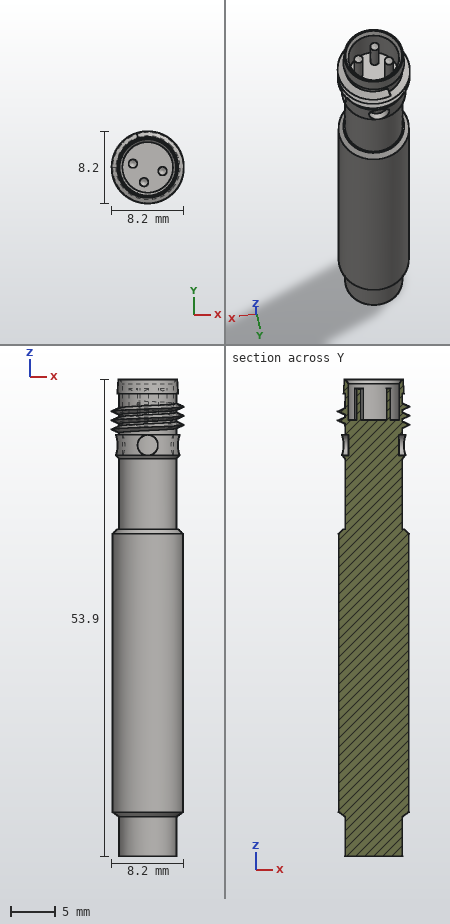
import cadquery as cq

total_length = 53.9
neck_radius = 6.5 / 2
body_radius = 8.0 / 2
body_start = 4.5
body_end = 37.0
body_chamfer = 0.55

collar_radius = 7.2 / 2
collar_start = 44.95
collar_end = 47.65
collar_chamfer = 0.4

core_radius = 6.5 / 2
ridge_radius = 6.9 / 2
ridge_height = 52.3
lip_radius = 6.7 / 2

thread_radius = 8.2 / 2
thread_pitch = 1.0
thread_start = 48.25
thread_turns = 2.8
thread_base = 0.85
thread_start_angle = 180
thread_overlap = 0.1

socket_diameter = 5.7
socket_depth = 4.6
socket_chamfer_width = 0.3
socket_chamfer_depth = 0.5
pin_diameter = 0.95
pin_recess = 1.0
pin_dish_depth = 0.25
pin_circle_radius = 1.7
pin_angles = (-14, 256, 166)
pocket_diameter = 2.3
pocket_height = 46.45
pocket_count = 4


def make_body():
    outline = [
        (0, 0),
        (neck_radius, 0),
        (neck_radius, body_start),
        (body_radius, body_start + body_chamfer),
        (body_radius, body_end - body_chamfer),
        (body_radius - body_chamfer, body_end),
        (neck_radius, body_end),
        (neck_radius, collar_start),
        (collar_radius, collar_start + collar_chamfer),
        (collar_radius, collar_end),
        (core_radius, collar_end),
        (core_radius, ridge_height),
        (ridge_radius, ridge_height),
        (lip_radius, total_length),
        (0, total_length),
    ]
    return cq.Workplane("XZ").polyline(outline).close().revolve(360, (0, 0), (0, 1))


def make_thread():
    helix = cq.Wire.makeHelix(thread_pitch, thread_pitch * thread_turns, core_radius)
    root = core_radius - thread_overlap
    ridge = (
        cq.Workplane("XZ")
        .polyline([(root, -thread_base / 2), (thread_radius, 0), (root, thread_base / 2)])
        .close()
        .sweep(cq.Workplane(helix), isFrenet=True)
    )
    return ridge.rotate((0, 0, 0), (0, 0, 1), thread_start_angle).translate((0, 0, thread_start))


def make_socket():
    """Round socket that widens into a lead-in chamfer at the open end."""
    socket_radius = socket_diameter / 2
    floor_height = total_length - socket_depth
    outline = [
        (0, floor_height),
        (socket_radius, floor_height),
        (socket_radius, total_length - socket_chamfer_depth),
        (socket_radius + socket_chamfer_width, total_length),
        (0, total_length),
    ]
    return cq.Workplane("XZ").polyline(outline).close().revolve(360, (0, 0), (0, 1))


def make_pins():
    """Contact pins standing on the socket floor, each with a shallow conical dish in its tip."""
    pin_radius = pin_diameter / 2
    floor_height = total_length - socket_depth
    tip_height = total_length - pin_recess
    pin = (
        cq.Workplane("XZ")
        .polyline([
            (0, floor_height),
            (pin_radius, floor_height),
            (pin_radius, tip_height),
            (0, tip_height - pin_dish_depth),
        ])
        .close()
        .revolve(360, (0, 0), (0, 1))
        .translate((pin_circle_radius, 0, 0))
    )
    pins = cq.Workplane("XY")
    for angle in pin_angles:
        pins = pins.add(pin.rotate((0, 0, 0), (0, 0, 1), angle))
    return pins.combine()


def make_pockets():
    """Radial round pockets whose floors lie on a cylinder of the socket diameter."""
    drill = (
        cq.Workplane("YZ", origin=(0, 0, pocket_height))
        .circle(pocket_diameter / 2)
        .extrude(body_radius)
    )
    drills = cq.Workplane("XY")
    for index in range(pocket_count):
        drills = drills.add(drill.rotate((0, 0, 0), (0, 0, 1), index * 360 / pocket_count))
    pocket_floor = cq.Workplane("XY").circle(socket_diameter / 2).extrude(total_length)
    return drills.combine().cut(pocket_floor)


result = (
    make_body()
    .union(make_thread())
    .cut(make_socket())
    .union(make_pins())
    .cut(make_pockets())
)